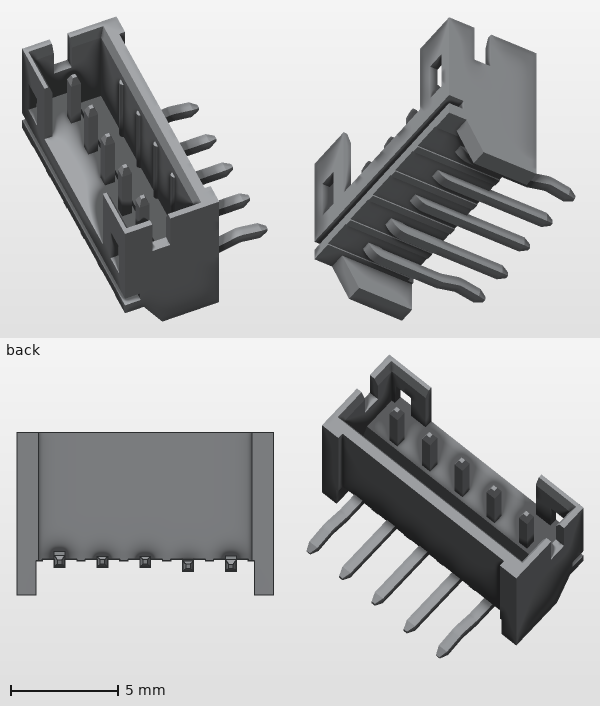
import cadquery as cq
import math

length = 12.0
pin_count = 5
pitch = length / (pin_count + 1)

housing_depth = 4.8
housing_top = 6.0
base_bottom = 0.07
ear_width = 1.01
ear_depth = 0.3
back_face = housing_depth - ear_depth

leg_width = 0.9
leg_height = 1.6
leg_front_top = 0.96
leg_front_bottom = 1.9

foot_width = 0.4

groove_bottom = 0.6
groove_top = 1.1
groove_depth = 0.8

side_wall = 0.5
cavity_front = 0.41
cavity_back = 3.79
floor = 2.2
chamfer_width = 0.22
chamfer_height = 0.5
rear_floor_drop = 1.1
drop_start = 2.17
drop_end = 2.64

front_notch_width = 6.8
side_notch_front = 1.39
side_notch_back = 2.3
side_notch_bottom = 4.0
window_width = 1.0
window_height = 2.0
window_offset = 4.8

rib_radius = 0.17
rib_top = 5.04
rib_setback = 0.02

pin_width = 0.5
tip_length = 0.41
tip_width = 0.2
blade_y = 1.76
blade_end = 5.38
tail_z = -0.25
tail_end = 8.1
bend_radius = 0.7

kink_start = 5.59
crest_start = 6.47
kink_rise_angle = 14.0
kink_fall_angle = 10.5
crest_radius = 0.73

raised = 0.2
pulled = -0.02
pin_variants = [
    (True, 0, 0),
    (False, 0, 0),
    (False, pulled, raised),
    (False, pulled, raised),
    (True, 0, raised),
]


def box(x0, x1, y0, y1, z0, z1):
    """Box between two opposite corners."""
    return cq.Workplane("XY").box(x1 - x0, y1 - y0, z1 - z0, centered=False).translate((x0, y0, z0))


def centred_box(x, width, y0, y1, z0, z1):
    """Box of a given X width centred on x."""
    return box(x - width / 2, x + width / 2, y0, y1, z0, z1)


def between_pins():
    """X positions halfway between neighbouring pins."""
    return [(i - pin_count / 2 + 1) * pitch for i in range(pin_count - 1)]


def leg(side):
    """Mounting leg with a sloped front, flush with one end of the housing."""
    outline = [
        (leg_front_top, 0),
        (housing_depth, 0),
        (housing_depth, -leg_height),
        (leg_front_bottom, -leg_height),
    ]
    start = length / 2 - leg_width if side > 0 else -length / 2
    top = centred_box(side * (length - leg_width) / 2, leg_width, 0, housing_depth, 0, base_bottom)
    sloped = cq.Workplane("YZ", origin=(start, 0, 0)).polyline(outline).close().extrude(leg_width)
    return top.union(sloped)


def outer_block():
    """Block with rear ears, legs and stand-off feet, before the cavity is cut."""
    block = centred_box(0, length, 0, back_face, base_bottom, housing_top)
    for side in (-1, 1):
        ear_x = side * (length - ear_width) / 2
        block = block.union(centred_box(ear_x, ear_width, back_face, housing_depth, 0, housing_top))
        block = block.union(leg(side))
    foot_places = [(i - pin_count / 2) * pitch for i in range(pin_count + 1)]
    for x in foot_places:
        block = block.union(centred_box(x, foot_width, 0, back_face, 0, base_bottom))
    return block


def cavity():
    """Mating cavity with a lowered rear floor and a chamfered mouth."""
    inner_length = length - 2 * side_wall
    outline = [
        (cavity_front, housing_top),
        (cavity_front, floor),
        (drop_start, floor),
        (drop_end, floor - rear_floor_drop),
        (cavity_back, floor - rear_floor_drop),
        (cavity_back, housing_top),
    ]
    well = cq.Workplane("YZ").polyline(outline).close().extrude(inner_length / 2, both=True)
    inner_depth = cavity_back - cavity_front
    mouth = (
        cq.Workplane("XY", origin=(0, (cavity_front + cavity_back) / 2, housing_top - chamfer_height))
        .rect(inner_length, inner_depth)
        .workplane(offset=chamfer_height)
        .rect(inner_length + 2 * chamfer_width, inner_depth + 2 * chamfer_width)
        .loft(ruled=True)
    )
    return well.union(mouth)


def wall_openings():
    """Front notch, two latch windows and the slots in the end walls."""
    cuts = centred_box(0, front_notch_width, 0, cavity_front, floor, housing_top)
    for x in (-window_offset, window_offset):
        cuts = cuts.union(centred_box(x, window_width, 0, cavity_front, floor, floor + window_height))
    side_slot = centred_box(0, length, side_notch_front, side_notch_back, side_notch_bottom, housing_top)
    return cuts.union(side_slot)


def ribs():
    """Rounded ribs standing on the rear cavity wall."""
    rib_bottom = floor - rear_floor_drop
    centres = [(x, cavity_back + rib_setback) for x in between_pins()]
    plane = cq.Workplane("XY", origin=(0, 0, rib_bottom))
    return plane.pushPoints(centres).circle(rib_radius).extrude(rib_top - rib_bottom)


def make_housing(pins):
    """Housing with the pin passages left open."""
    groove = centred_box(0, length, 0, groove_depth, groove_bottom, groove_top)
    housing = outer_block().cut(groove).cut(cavity()).cut(wall_openings()).union(ribs())
    for pin in pins:
        housing = housing.cut(pin)
    return housing


def tip(y, z, angle):
    """Tapered end pointing along a direction in the YZ plane, angle measured from +Y."""
    direction = (0, math.cos(math.radians(angle)), math.sin(math.radians(angle)))
    plane = cq.Plane(origin=(0, y, z), xDir=(1, 0, 0), normal=direction)
    return (
        cq.Workplane(plane)
        .rect(pin_width, pin_width)
        .workplane(offset=tip_length)
        .rect(tip_width, tip_width)
        .loft(ruled=True)
    )


def make_pin(kinked):
    """Right-angle square pin on X = 0, tapered at both ends."""
    blade_top = blade_end - tip_length
    bend_offset = bend_radius * (1 - math.sqrt(0.5))
    path = (
        cq.Workplane("YZ")
        .moveTo(blade_y, blade_top)
        .lineTo(blade_y, tail_z + bend_radius)
        .threePointArc((blade_y + bend_offset, tail_z + bend_offset), (blade_y + bend_radius, tail_z))
    )
    if kinked:
        rise = math.radians(kink_rise_angle)
        fall = math.radians(kink_fall_angle)
        crest_z = tail_z + (crest_start - kink_start) * math.tan(rise)
        centre_y = crest_start + crest_radius * math.sin(rise)
        centre_z = crest_z - crest_radius * math.cos(rise)
        fall_y = centre_y + crest_radius * math.sin(fall)
        fall_z = centre_z + crest_radius * math.cos(fall)
        end_y = tail_end - tip_length * math.cos(fall) - tip_width / 2 * math.sin(fall)
        end_z = fall_z - (end_y - fall_y) * math.tan(fall)
        end_angle = -kink_fall_angle
        path = (
            path.lineTo(kink_start, tail_z)
            .lineTo(crest_start, crest_z)
            .threePointArc((centre_y, centre_z + crest_radius), (fall_y, fall_z))
            .lineTo(end_y, end_z)
        )
    else:
        end_y = tail_end - tip_length
        end_z = tail_z
        end_angle = 0
        path = path.lineTo(end_y, end_z)
    section = cq.Workplane("XY", origin=(0, blade_y, blade_top)).rect(pin_width, pin_width)
    shaft = section.sweep(path, transition="right")
    return shaft.union(tip(blade_y, blade_top, 90)).union(tip(end_y, end_z, end_angle))


pins = []
for index, (kinked, shift_y, shift_z) in enumerate(pin_variants):
    pin_x = (index - (pin_count - 1) / 2) * pitch
    pins.append(make_pin(kinked).translate((pin_x, shift_y, shift_z)))

housing = make_housing(pins)

result = cq.Compound.makeCompound([housing.solids().val(), *[pin.solids().val() for pin in pins]])